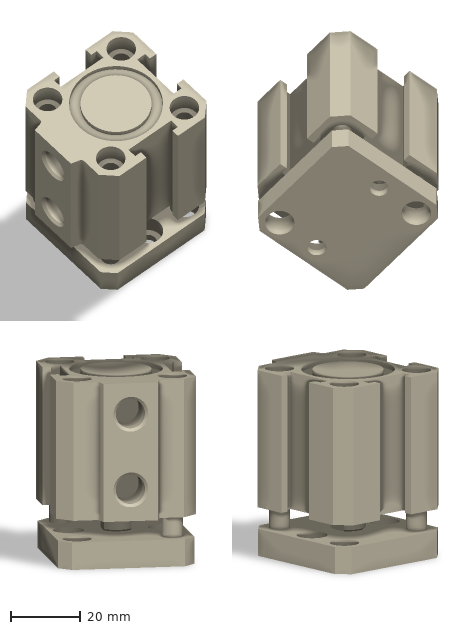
import cadquery as cq
import math

total_height = 55.0
plate_thickness = 8.0
stroke_gap = 6.5
body_bottom = plate_thickness + stroke_gap
body_height = total_height - body_bottom

body_width = 41.0
body_chamfer = 4.25
half_body = body_width / 2

boss_face_y = -24.0
boss_face_width = 16.0
boss_taper_deg = 15.0
boss_root_radius = 1.0

slot_mouth_width = 12.0
slot_inner_width = 16.2
slot_lip = 2.5
slot_depth = 5.5

hole_offset = 14.0
mount_hole_dia = 5.3
mount_bore_dia = 8.5
mount_bore_depth = 5.7

port_dia = 8.57
port_mouth_dia = 10.2
port_depth = 11.0
lower_port_z = 23.7
port_pitch = 22.2

groove_outer_dia = 27.1
groove_inner_dia = 20.5
groove_depth = 1.5

collar_dia = 20.5
collar_height = 2.5
collar_chamfer = 1.0

rod_dia = 10.0
rod_across_flats = 8.0
rod_end_chamfer = 0.5
flat_start_below_collar = 1.0
rod_insertion = 15.0
pin_dia = 6.0
pin_insertion = 15.0

plate_width = 40.0
plate_chamfer = 3.45
plate_screw_dia = 5.5
plate_bore_dia = 9.0
plate_bore_depth = 5.6

corner_points = [(sx * hole_offset, sy * hole_offset) for sx in (-1, 1) for sy in (-1, 1)]
pin_points = [(x, y) for x, y in corner_points if x * y < 0]
access_points = [(x, y) for x, y in corner_points if x * y > 0]
plate_screw_points = [(-hole_offset, 0), (hole_offset, 0)]


def cylinders(points, diameter, z_bottom, z_top):
    """Upright cylinders of one diameter between two levels."""
    start = cq.Workplane("XY").workplane(offset=z_bottom)
    return start.pushPoints(points).circle(diameter / 2).extrude(z_top - z_bottom)


def chamfered_square(width, chamfer, z_bottom, height):
    """Square block with its four upright edges chamfered."""
    start = cq.Workplane("XY").workplane(offset=z_bottom)
    return start.rect(width, width).extrude(height).edges("|Z").chamfer(chamfer)


def port_boss():
    """Tapered rib for the ports, reaching into the block behind its root fillets."""
    taper = math.radians(boss_taper_deg)
    half_face = boss_face_width / 2
    half_root = half_face + (-half_body - boss_face_y) * math.tan(taper)
    tangent = boss_root_radius * math.tan((math.pi / 2 - taper) / 2)
    wall_x = half_root - tangent * math.sin(taper)
    wall_y = -half_body - tangent * math.cos(taper)
    block_x = half_root + tangent
    inside_y = -half_body + body_chamfer
    profile = (
        cq.Workplane("XY").workplane(offset=body_bottom)
        .moveTo(-half_face, boss_face_y)
        .lineTo(half_face, boss_face_y)
        .lineTo(wall_x, wall_y)
        .radiusArc((block_x, -half_body), boss_root_radius)
        .lineTo(block_x, inside_y)
        .lineTo(-block_x, inside_y)
        .lineTo(-block_x, -half_body)
        .radiusArc((-wall_x, wall_y), boss_root_radius)
        .close()
    )
    return profile.extrude(body_height)


def t_slot(angle):
    """T-slot cutter for the +X face, turned about Z by the given angle."""
    floor_x = half_body - slot_depth
    pocket_depth = slot_depth - slot_lip
    mouth = cq.Workplane("XY", origin=(floor_x + slot_depth / 2, 0, body_bottom))
    mouth = mouth.rect(slot_depth, slot_mouth_width).extrude(body_height)
    pocket = cq.Workplane("XY", origin=(floor_x + pocket_depth / 2, 0, body_bottom))
    pocket = pocket.rect(pocket_depth, slot_inner_width).extrude(body_height)
    cutter = mouth.union(pocket)
    return cutter.rotate((0, 0, 0), (0, 0, 1), angle)


def air_port(z):
    """Blind port entering the boss along +Y, with a 45 degree mouth chamfer."""
    face = cq.Workplane("XZ", origin=(0, boss_face_y, z))
    bore = face.circle(port_dia / 2).extrude(-port_depth)
    mouth_depth = (port_mouth_dia - port_dia) / 2
    mouth = cq.Solid.makeCone(
        port_mouth_dia / 2, port_dia / 2, mouth_depth,
        pnt=cq.Vector(0, boss_face_y, z), dir=cq.Vector(0, 1, 0),
    )
    return bore.union(cq.Workplane(mouth))


def make_housing():
    housing = chamfered_square(body_width, body_chamfer, body_bottom, body_height).union(port_boss())
    collar = cylinders([(0, 0)], collar_dia, body_bottom - collar_height, body_bottom)
    housing = housing.union(collar.faces("<Z").chamfer(collar_chamfer))

    for angle in (0, 90, 180):
        housing = housing.cut(t_slot(angle))
    for z in (lower_port_z, lower_port_z + port_pitch):
        housing = housing.cut(air_port(z))

    groove_floor = total_height - groove_depth
    groove = cylinders([(0, 0)], groove_outer_dia, groove_floor, total_height)
    groove = groove.cut(cylinders([(0, 0)], groove_inner_dia, groove_floor, total_height))
    housing = housing.cut(groove)

    bore_floor = total_height - mount_bore_depth
    housing = housing.cut(cylinders(corner_points, mount_hole_dia, body_bottom, total_height))
    housing = housing.cut(cylinders(corner_points, mount_bore_dia, bore_floor, total_height))

    rod_hole = cylinders([(0, 0)], rod_dia, body_bottom - collar_height, body_bottom + rod_insertion)
    pin_holes = cylinders(pin_points, pin_dia, body_bottom, body_bottom + pin_insertion)
    return housing.cut(rod_hole).cut(pin_holes)


def make_piston_rod():
    """Round rod with two flats facing -X and +X just above the plate."""
    rod = cylinders([(0, 0)], rod_dia, plate_thickness, body_bottom + rod_insertion)
    rod = rod.faces("<Z").chamfer(rod_end_chamfer)
    flat_top = body_bottom - collar_height - flat_start_below_collar
    flat_cut = (rod_dia - rod_across_flats) / 2
    flat_centers = [(side * (rod_across_flats + flat_cut) / 2, 0) for side in (-1, 1)]
    flats = (
        cq.Workplane("XY").workplane(offset=plate_thickness)
        .pushPoints(flat_centers)
        .rect(flat_cut, rod_dia)
        .extrude(flat_top - plate_thickness)
    )
    return rod.cut(flats)


def make_moving_plate():
    plate = chamfered_square(plate_width, plate_chamfer, 0, plate_thickness)
    bore_floor = plate_thickness - plate_bore_depth
    plate = plate.cut(cylinders(access_points, mount_bore_dia, 0, plate_thickness))
    plate = plate.cut(cylinders(plate_screw_points, plate_screw_dia, 0, plate_thickness))
    plate = plate.cut(cylinders(plate_screw_points, plate_bore_dia, bore_floor, plate_thickness))
    pins = cylinders(pin_points, pin_dia, plate_thickness, body_bottom + pin_insertion)
    return plate.union(pins).union(make_piston_rod())


housing = make_housing()
moving_plate = make_moving_plate()

result = cq.Compound.makeCompound([housing.val(), moving_plate.val()])